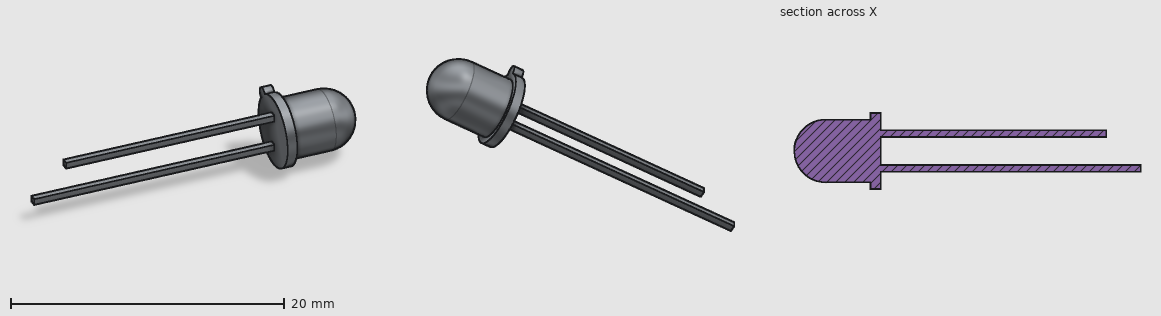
import cadquery as cq
import math


LENS_HEIGHT = 6.35
BODY_DIAMETER = 4.64
FLANGE_DIAMETER = 5.588
FLANGE_THICKNESS = 0.762

TAB_RADIUS = 0.533
TAB_CENTER_DISTANCE = 2.87
TAB_ANGLE = 135.0

LEAD_PITCH = 2.54
LEAD_WIDTH = 0.508
LONG_LEAD_LENGTH = 19.05
SHORT_LEAD_LENGTH = 16.51


def make_lens():
    """Flange, cylindrical body and hemispherical dome, revolved about the Y axis."""
    flange_radius = FLANGE_DIAMETER / 2
    dome_radius = BODY_DIAMETER / 2
    dome_start = LENS_HEIGHT - dome_radius
    arc_offset = dome_radius * math.sqrt(0.5)
    profile = (
        cq.Workplane("YZ")
        .lineTo(0, flange_radius)
        .lineTo(FLANGE_THICKNESS, flange_radius)
        .lineTo(FLANGE_THICKNESS, dome_radius)
        .lineTo(dome_start, dome_radius)
        .threePointArc((dome_start + arc_offset, arc_offset), (LENS_HEIGHT, 0))
        .close()
    )
    return profile.revolve(360, (0, 0, 0), (1, 0, 0))


def make_tab():
    """Round tab that sticks out of the flange rim, as thick as the flange."""
    angle = math.radians(TAB_ANGLE)
    center_x = TAB_CENTER_DISTANCE * math.cos(angle)
    center_z = TAB_CENTER_DISTANCE * math.sin(angle)
    return (
        cq.Workplane("XZ")
        .center(center_x, center_z)
        .circle(TAB_RADIUS)
        .extrude(-FLANGE_THICKNESS)
    )


def make_lead(center_z, length):
    """Square lead running from the flange base toward -Y."""
    return (
        cq.Workplane("XZ")
        .center(0, center_z)
        .rect(LEAD_WIDTH, LEAD_WIDTH)
        .extrude(length)
    )


short_lead = make_lead(LEAD_PITCH / 2, SHORT_LEAD_LENGTH)
long_lead = make_lead(-LEAD_PITCH / 2, LONG_LEAD_LENGTH)

result = make_lens().union(make_tab()).union(short_lead).union(long_lead)